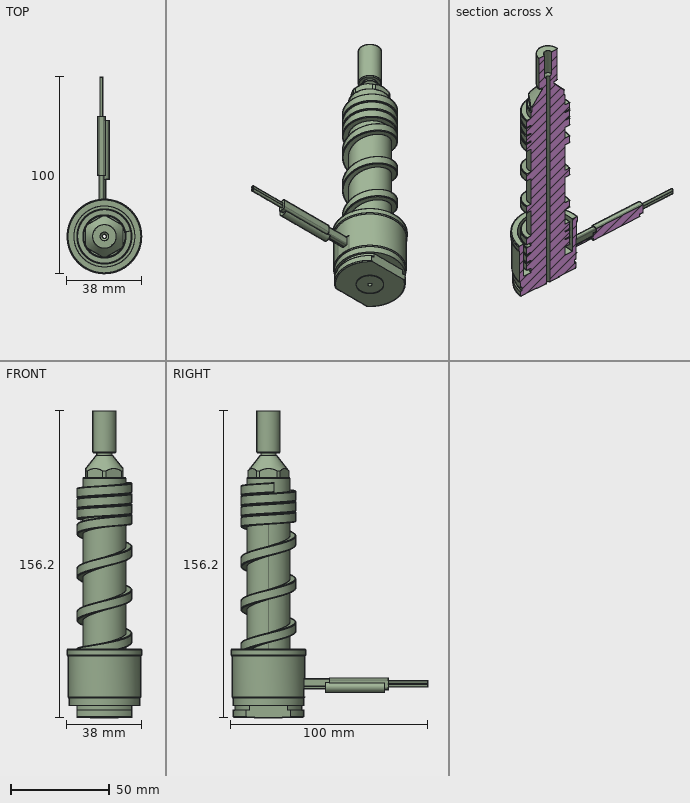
import cadquery as cq
import math

TOTAL_HEIGHT = 156.2
EDGE_CHAMFER = 0.5

PAD_RADIUS = 7.0
PAD_HEIGHT = 0.4
PLUG_RADIUS = 18.0
PLUG_TOP = 10.6
GROOVE_RADIUS = 17.0
GROOVE_BOTTOM = 4.1
GROOVE_TOP = 6.4
FLAT_DISTANCE = 14.0

HOUSING_RADIUS = 18.5
FLANGE_RADIUS = 19.0
FLANGE_BOTTOM = 32.0
HOUSING_TOP = 35.2
RECESS_RADIUS = 15.5
RECESS_CLEARANCE = 0.5
CABLE_FLAT_DISTANCE = 18.0
CABLE_FLAT_TOP = 20.0

SHAFT_RADIUS = 11.0
SHAFT_TOP = 122.4
HEX_ACROSS_FLATS = 19.0
HEX_CORNER_RADIUS = 10.5
CONE_BOTTOM = 125.6
CONE_TOP = 133.5
CONE_TOP_RADIUS = 4.2
NECK_RADIUS = 3.9
TIP_RADIUS = 6.0
TIP_BOTTOM = 134.8
BORE_RADIUS = 2.2
BORE_DEPTH = 15.0
ORIFICE_RADIUS = 1.0

COIL_RADIUS = 14.0
COIL_HEIGHT = 5.0
COIL_CHAMFER = 0.4
COIL_OVERLAP = 0.5
COIL_TOP = 117.0
COIL_START_ANGLE = 12.0
CLOSE_PITCH = 5.33
OPEN_PITCH = 22.0
CLOSE_TURNS = 3.156
CHANGE_TURNS = 0.389
OPEN_TURNS = 2.567
POINTS_PER_TURN = 24

LEAD_END = 81.0
LEAD_START = 16.5
SLEEVE_LENGTH = 30.0
FLAT_LEAD_X = -1.5
FLAT_LEAD_Z = 17.4
FLAT_SLEEVE_END = 61.0
FLAT_SLEEVE_SIZE = (4.0, 6.0)
FLAT_SLEEVE_FILLET = 1.0
FLAT_CABLE_SIZE = (2.5, 5.2)
FLAT_CABLE_FILLET = 0.5
WIRE_RADIUS = 0.75
WIRE_SPACING = 1.75
ROUND_LEAD_X = 0.0
ROUND_LEAD_Z = 15.5
ROUND_SLEEVE_END = 59.0
ROUND_SLEEVE_RADIUS = 2.5
ROUND_CABLE_RADIUS = 0.7


def disc(radius, bottom, top):
    return cq.Workplane("XY").workplane(offset=bottom).circle(radius).extrude(top - bottom)


def coil_height(turns):
    """Height of the rib centre after a number of turns down from the +X side."""
    pitch_gain = (OPEN_PITCH - CLOSE_PITCH) / (2 * CHANGE_TURNS)
    open_start = CLOSE_TURNS
    close_start = CLOSE_TURNS + CHANGE_TURNS + OPEN_TURNS
    opening = min(max(turns - open_start, 0), CHANGE_TURNS)
    fully_open = min(max(turns - open_start - CHANGE_TURNS, 0), OPEN_TURNS)
    closing = min(max(turns - close_start, 0), CHANGE_TURNS)
    close_wound = turns - opening - fully_open - closing
    drop = CLOSE_PITCH * (close_wound + opening) + pitch_gain * opening**2
    drop += OPEN_PITCH * (fully_open + closing) - pitch_gain * closing**2
    return COIL_TOP - drop


COIL_FIRST_TURN = -COIL_START_ANGLE / 360
COIL_LAST_TURN = 2 * (CLOSE_TURNS + CHANGE_TURNS) + OPEN_TURNS
RECESS_FLOOR = coil_height(COIL_LAST_TURN) - COIL_HEIGHT / 2 - RECESS_CLEARANCE


def make_plug():
    plug = disc(PLUG_RADIUS, PAD_HEIGHT, PLUG_TOP)
    plug = plug.faces("<Z").chamfer(EDGE_CHAMFER)
    groove_core = disc(GROOVE_RADIUS, GROOVE_BOTTOM, GROOVE_TOP)
    plug = plug.cut(disc(PLUG_RADIUS, GROOVE_BOTTOM, GROOVE_TOP).cut(groove_core))
    side_width = PLUG_RADIUS - FLAT_DISTANCE
    for side in (-1, 1):
        flat = cq.Workplane("XY").box(side_width, 2 * PLUG_RADIUS, GROOVE_TOP, centered=(True, True, False))
        plug = plug.cut(flat.translate((side * (FLAT_DISTANCE + side_width / 2), 0, 0)))
    return plug.union(disc(PAD_RADIUS, 0, PAD_HEIGHT))


def make_housing():
    housing = disc(HOUSING_RADIUS, PLUG_TOP - EDGE_CHAMFER, FLANGE_BOTTOM).faces("<Z").chamfer(EDGE_CHAMFER)
    flange = disc(FLANGE_RADIUS, FLANGE_BOTTOM - EDGE_CHAMFER, HOUSING_TOP)
    flange = flange.faces("<Z or >Z").chamfer(EDGE_CHAMFER)
    cable_flat = cq.Workplane("XY").box(
        2 * HOUSING_RADIUS, HOUSING_RADIUS, CABLE_FLAT_TOP - PLUG_TOP, centered=(True, False, False)
    )
    housing = housing.cut(cable_flat.translate((0, CABLE_FLAT_DISTANCE, PLUG_TOP)))
    return housing.union(flange).cut(disc(RECESS_RADIUS, RECESS_FLOOR, HOUSING_TOP))


def make_nut():
    hexagon = (
        cq.Workplane("XY")
        .workplane(offset=SHAFT_TOP)
        .polygon(6, HEX_ACROSS_FLATS, circumscribed=True)
        .extrude(CONE_TOP - SHAFT_TOP)
    )
    outline = (
        cq.Workplane("XZ")
        .moveTo(0, SHAFT_TOP)
        .lineTo(HEX_CORNER_RADIUS, SHAFT_TOP)
        .lineTo(HEX_CORNER_RADIUS, CONE_BOTTOM)
        .lineTo(CONE_TOP_RADIUS, CONE_TOP)
        .lineTo(0, CONE_TOP)
        .close()
        .revolve()
    )
    return hexagon.intersect(outline)


def make_shaft():
    shaft = disc(SHAFT_RADIUS, RECESS_FLOOR, SHAFT_TOP).faces(">Z").chamfer(EDGE_CHAMFER)
    neck = disc(NECK_RADIUS, CONE_TOP, TIP_BOTTOM)
    tip = disc(TIP_RADIUS, TIP_BOTTOM, TOTAL_HEIGHT).faces("<Z").chamfer(EDGE_CHAMFER)
    return shaft.union(make_nut()).union(neck).union(tip)


def make_coil():
    half_height = COIL_HEIGHT / 2
    corners = [
        (SHAFT_RADIUS - COIL_OVERLAP, -half_height),
        (COIL_RADIUS - COIL_CHAMFER, -half_height),
        (COIL_RADIUS, -half_height + COIL_CHAMFER),
        (COIL_RADIUS, half_height - COIL_CHAMFER),
        (COIL_RADIUS - COIL_CHAMFER, half_height),
        (SHAFT_RADIUS - COIL_OVERLAP, half_height),
    ]
    steps = math.ceil((COIL_LAST_TURN - COIL_FIRST_TURN) * POINTS_PER_TURN)

    def rail(radius, rise):
        points = []
        for step in range(steps + 1):
            turns = COIL_FIRST_TURN + (COIL_LAST_TURN - COIL_FIRST_TURN) * step / steps
            angle = -2 * math.pi * turns
            height = coil_height(turns) + rise
            points.append(cq.Vector(radius * math.cos(angle), radius * math.sin(angle), height))
        return cq.Edge.makeSpline(points)

    rails = [rail(radius, rise) for radius, rise in corners]
    faces = [cq.Face.makeRuledSurface(rails[i - 1], rails[i]) for i in range(len(rails))]
    for end in (0, 1):
        end_points = [edge.positionAt(end) for edge in rails]
        faces.append(cq.Face.makeFromWires(cq.Wire.makePolygon(end_points, close=True)))
    return cq.Workplane(cq.Solid.makeSolid(cq.Shell.makeShell(faces)))


def along_y(profile_x, profile_z, end):
    """Workplane at Y = end, centred on a lead, so that extrusions run towards -Y."""
    return cq.Workplane("XZ", origin=(profile_x, end, profile_z))


def make_flat_lead():
    lead = along_y(FLAT_LEAD_X, FLAT_LEAD_Z, FLAT_SLEEVE_END).rect(*FLAT_SLEEVE_SIZE).extrude(SLEEVE_LENGTH)
    lead = lead.edges("|Y").fillet(FLAT_SLEEVE_FILLET)
    sleeve_start = FLAT_SLEEVE_END - SLEEVE_LENGTH
    cable = along_y(FLAT_LEAD_X, FLAT_LEAD_Z, sleeve_start).rect(*FLAT_CABLE_SIZE)
    cable = cable.extrude(sleeve_start - LEAD_START).edges("|Y").fillet(FLAT_CABLE_FILLET)
    lead = lead.union(cable)
    for side in (-1, 1):
        wire = along_y(FLAT_LEAD_X, FLAT_LEAD_Z + side * WIRE_SPACING / 2, LEAD_END)
        lead = lead.union(wire.circle(WIRE_RADIUS).extrude(LEAD_END - FLAT_SLEEVE_END))
    return lead


def make_round_lead():
    sleeve = along_y(ROUND_LEAD_X, ROUND_LEAD_Z, ROUND_SLEEVE_END).circle(ROUND_SLEEVE_RADIUS)
    cable = along_y(ROUND_LEAD_X, ROUND_LEAD_Z, ROUND_SLEEVE_END).circle(ROUND_CABLE_RADIUS)
    return sleeve.extrude(SLEEVE_LENGTH).union(cable.extrude(ROUND_SLEEVE_END - LEAD_START))


def make_bore():
    """Blind bore in the tip with a conical floor that runs into a fine through hole."""
    bore_floor = TOTAL_HEIGHT - BORE_DEPTH
    cone_depth = BORE_RADIUS - ORIFICE_RADIUS
    return (
        cq.Workplane("XZ")
        .lineTo(ORIFICE_RADIUS, 0)
        .lineTo(ORIFICE_RADIUS, bore_floor - cone_depth)
        .lineTo(BORE_RADIUS, bore_floor)
        .lineTo(BORE_RADIUS, TOTAL_HEIGHT)
        .lineTo(0, TOTAL_HEIGHT)
        .close()
        .revolve()
    )


body = make_shaft().union(make_coil())
body = body.union(make_housing()).union(make_plug())
body = body.union(make_flat_lead()).union(make_round_lead())
result = body.cut(make_bore())